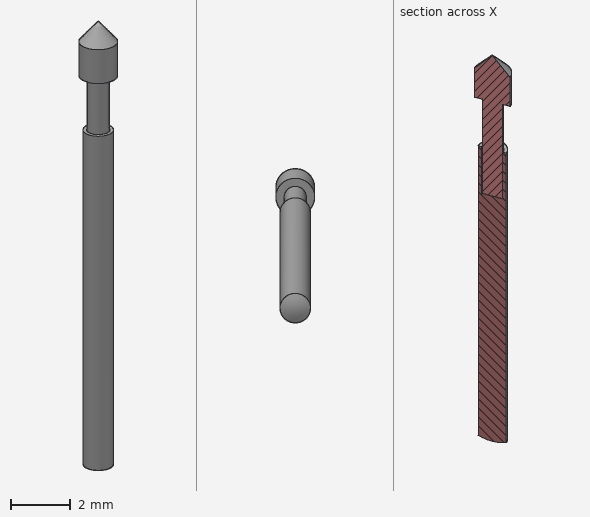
import cadquery as cq
import math

total_length = 16.54

head_diameter = 1.3
stem_diameter = 0.75
tip_height = 0.76
head_height = 1.25
exposed_stem_length = 2.02
stem_insertion = exposed_stem_length

barrel_diameter = 1.03
bore_diameter = 0.78
end_dome_height = 0.108

head_top = total_length - tip_height
head_bottom = head_top - head_height
barrel_top = head_bottom - exposed_stem_length
stem_bottom = barrel_top - stem_insertion


def make_plunger():
    """Conical tip, cylindrical head and the stem that enters the barrel."""
    head_radius = head_diameter / 2
    stem_radius = stem_diameter / 2
    return (
        cq.Workplane("XZ")
        .moveTo(0, stem_bottom)
        .lineTo(stem_radius, stem_bottom)
        .lineTo(stem_radius, head_bottom)
        .lineTo(head_radius, head_bottom)
        .lineTo(head_radius, head_top)
        .lineTo(0, total_length)
        .close()
        .revolve(360, (0, 0, 0), (0, 1, 0))
    )


def make_barrel():
    """Barrel with a shallow spherical end and a blind bore with slight clearance around the stem."""
    barrel_radius = barrel_diameter / 2
    dome_radius = (barrel_radius**2 + end_dome_height**2) / (2 * end_dome_height)
    mid_radius = barrel_radius / 2
    mid_height = dome_radius - math.sqrt(dome_radius**2 - mid_radius**2)
    body = (
        cq.Workplane("XZ")
        .moveTo(0, 0)
        .threePointArc((mid_radius, mid_height), (barrel_radius, end_dome_height))
        .lineTo(barrel_radius, barrel_top)
        .lineTo(0, barrel_top)
        .close()
        .revolve(360, (0, 0, 0), (0, 1, 0))
    )
    bore = (
        cq.Workplane("XY", origin=(0, 0, stem_bottom))
        .circle(bore_diameter / 2)
        .extrude(stem_insertion)
    )
    return body.cut(bore)


plunger = make_plunger()
barrel = make_barrel()

result = cq.Compound.makeCompound([plunger.val(), barrel.val()])